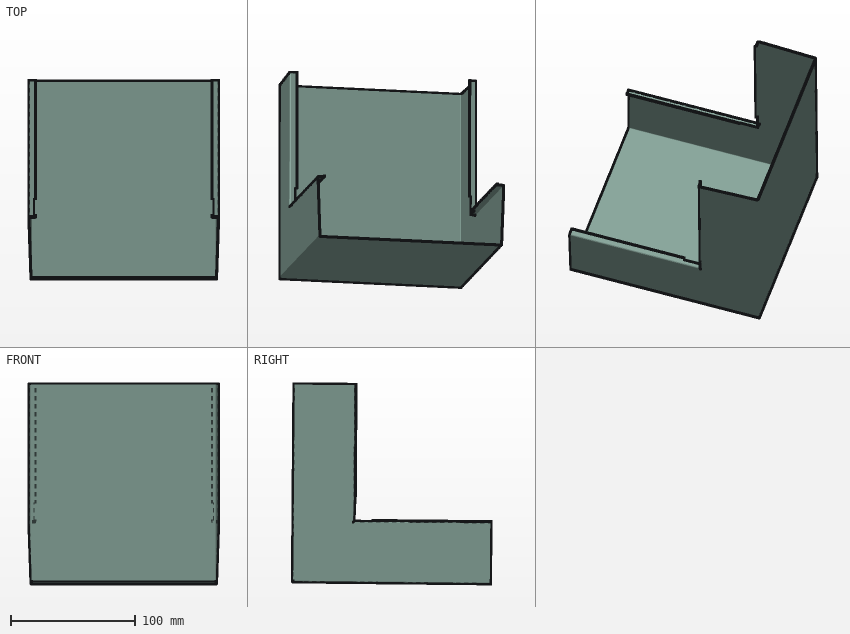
import cadquery as cq
import math

SHEET = 0.8
BEND_RADIUS = 1.5
MOUTH_WIDTH = 153.4
CHANNEL_HEIGHT = 50.1
WALL_FLARE = 2.0
LEG_LENGTH = 160.0
LIP_WIDTH = 4.7
HOOK_LENGTH = 95.7
HORIZONTAL_SAG = 0.57
VERTICAL_LEAN = 0.43

ELBOW_ANGLE = 90 + HORIZONTAL_SAG - VERTICAL_LEAN
MOUTH_HALF = MOUTH_WIDTH / 2
BASE_HALF = MOUTH_HALF - CHANNEL_HEIGHT * math.tan(math.radians(WALL_FLARE))
LIP_EDGE = MOUTH_HALF - LIP_WIDTH
INNER_RADIUS = BEND_RADIUS - SHEET


def along_leg(profile, length):
    """Extrude an XZ profile towards +Y."""
    return profile.extrude(-length)


def channel():
    """Flared channel with rounded bends and flat lips along both top edges."""
    outline = [
        (-BASE_HALF, 0),
        (BASE_HALF, 0),
        (MOUTH_HALF, CHANNEL_HEIGHT),
        (-MOUTH_HALF, CHANNEL_HEIGHT),
    ]
    outer = along_leg(cq.Workplane("XZ").polyline(outline).close(), LEG_LENGTH)
    inner = along_leg(cq.Workplane("XZ").polyline(outline).close().offset2D(-SHEET), LEG_LENGTH)
    outer = outer.edges("|Y").fillet(BEND_RADIUS)
    inner = inner.edges("|Y").fillet(INNER_RADIUS)
    mouth = cq.Workplane("XY").box(
        2 * LIP_EDGE, LEG_LENGTH, CHANNEL_HEIGHT, centered=(True, False, False)
    )
    return outer.cut(inner).cut(mouth.translate((0, 0, CHANNEL_HEIGHT / 2)))


def lip_hook():
    """Quarter-round upturn along the inner edge of the right-hand lip."""
    bend_z = CHANNEL_HEIGHT + INNER_RADIUS
    diagonal = math.sqrt(0.5)
    profile = (
        cq.Workplane("XZ", origin=(0, LEG_LENGTH - HOOK_LENGTH, 0))
        .moveTo(LIP_EDGE, CHANNEL_HEIGHT)
        .threePointArc(
            (LIP_EDGE - INNER_RADIUS * diagonal, bend_z - INNER_RADIUS * diagonal),
            (LIP_EDGE - INNER_RADIUS, bend_z),
        )
        .lineTo(LIP_EDGE - BEND_RADIUS, bend_z)
        .threePointArc(
            (LIP_EDGE - BEND_RADIUS * diagonal, bend_z - BEND_RADIUS * diagonal),
            (LIP_EDGE, bend_z - BEND_RADIUS),
        )
        .close()
    )
    return along_leg(profile, HOOK_LENGTH)


def mitred_leg():
    """One leg, with everything past the mitre plane at the corner removed."""
    hook = lip_hook()
    leg = channel().union(hook).union(hook.mirror("YZ"))
    mitre_height = 2 * CHANNEL_HEIGHT
    mitre_run = mitre_height / math.tan(math.radians(ELBOW_ANGLE / 2))
    waste = (
        cq.Workplane("YZ")
        .polyline([(0, 0), (mitre_run, mitre_height), (0, mitre_height)])
        .close()
        .extrude(MOUTH_WIDTH, both=True)
    )
    return leg.cut(waste)


def corner_waste():
    """Material outside the rounded bend where the two bases meet."""
    half_angle = math.radians(ELBOW_ANGLE / 2)
    tangent = BEND_RADIUS / math.tan(half_angle)
    turn = math.radians(ELBOW_ANGLE)
    reach = BEND_RADIUS / math.sin(half_angle) - BEND_RADIUS
    return (
        cq.Workplane("YZ")
        .moveTo(tangent, 0)
        .threePointArc(
            (reach * math.cos(half_angle), reach * math.sin(half_angle)),
            (tangent * math.cos(turn), tangent * math.sin(turn)),
        )
        .lineTo(0, 0)
        .close()
        .extrude(MOUTH_WIDTH, both=True)
    )


X_AXIS = ((0, 0, 0), (1, 0, 0))

lying_leg = mitred_leg()
standing_leg = lying_leg.mirror("XY").rotate(*X_AXIS, ELBOW_ANGLE)
elbow = lying_leg.union(standing_leg).cut(corner_waste())
result = elbow.rotate(*X_AXIS, -HORIZONTAL_SAG)